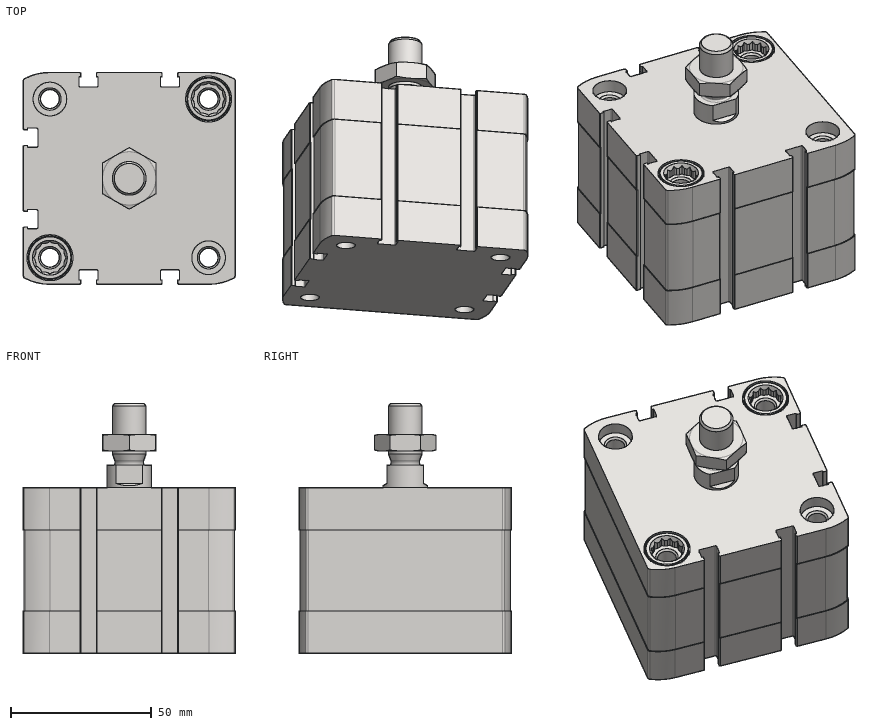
import cadquery as cq
import math


housing_width = 75.5
housing_height = 59.0
cap_height = 15.0
tube_inset = 0.25
corner_arc_reach = 9.3
corner_arc_drop = 2.5
corner_edge_radius = 1.0

slot_offset = 14.5
slot_mouth_chamfer = 0.3
slot_neck_width = 5.5
slot_neck_depth = 1.6
slot_width = 6.7
slot_depth = 5.2
slot_floor_radius = 0.4

hole_offset = 56.5 / 2
hole_diameter = 6.65
hole_chamfer_diameter = 8.0
counterbore_diameter = 12.0
counterbore_depth = 4.8

socket_across_flats = 10.0
socket_points = 12
socket_bore_diameter = 10.65
socket_depth = 4.5
socket_lead_diameter = 12.4
socket_lead_depth = 1.7
groove_outer_diameter = 16.4
groove_inner_diameter = 15.5
collar_top_diameter = 14.9
groove_depth = 1.0

rod_diameter = 16.0
rod_seat_depth = cap_height
rod_shoulder = 8.0
rod_flat_start = 1.55
rod_across_flats = 13.0
rod_flat_ramp_angle = 30.0
neck_diameter = 10.2
neck_fillet = 0.7
neck_top = 9.5
neck_blend_radius = 1.0
thread_diameter = 12.0
thread_start = 11.9
thread_tip_diameter = 10.65
thread_tip_chamfer = 1.0
rod_length = 30.0

nut_across_flats = 19.0
nut_height = 6.0
nut_start = 13.0
nut_chamfer_angle = 15.0


def cone(bottom_diameter, top_diameter, bottom, top):
    """Truncated cone on the Z axis."""
    return (
        cq.Workplane("XZ")
        .moveTo(0, bottom)
        .lineTo(bottom_diameter / 2, bottom)
        .lineTo(top_diameter / 2, top)
        .lineTo(0, top)
        .close()
        .revolve(360, (0, 0, 0), (0, 1, 0))
    )


def cylinder(diameter, bottom, top):
    return cq.Workplane("XY").workplane(offset=bottom).circle(diameter / 2).extrude(top - bottom)


def hexagon(across_flats, bottom, top):
    """Hexagonal prism with two corners on the X axis."""
    across_corners = across_flats / math.cos(math.pi / 6)
    return cq.Workplane("XY").workplane(offset=bottom).polygon(6, across_corners).extrude(top - bottom)


def housing_section(inset, bottom, top):
    """Square block whose +Y and -Y faces curve down to the +X and -X faces."""
    half = housing_width / 2 - inset
    arc_radius = (corner_arc_reach**2 + corner_arc_drop**2) / (2 * corner_arc_drop)
    arc_start = half - corner_arc_reach
    arc_end = half - corner_arc_drop
    block = (
        cq.Workplane("XY")
        .workplane(offset=bottom)
        .moveTo(-arc_start, half)
        .lineTo(arc_start, half)
        .radiusArc((half, arc_end), arc_radius)
        .lineTo(half, -arc_end)
        .radiusArc((arc_start, -half), arc_radius)
        .lineTo(-arc_start, -half)
        .radiusArc((-half, -arc_end), arc_radius)
        .lineTo(-half, arc_end)
        .radiusArc((-arc_start, half), arc_radius)
        .close()
        .extrude(top - bottom)
    )
    for side in (">X", "<X"):
        block = block.faces(side).edges("|Z").fillet(corner_edge_radius)
    for angle in (0, 180, 270):
        for offset in (-slot_offset, slot_offset):
            slot = sensor_slot(half, bottom, top).translate((offset, 0, 0))
            block = block.cut(slot.rotate((0, 0, 0), (0, 0, 1), angle))
    return block


def sensor_slot(face, bottom, top):
    """T-slot cutter opening at Y = -face; its floor keeps its place when the face is inset."""
    outer = housing_width / 2
    neck_end = -(outer - slot_neck_depth)
    floor = -(outer - slot_depth)
    neck = slot_neck_width / 2
    mouth = neck + slot_mouth_chamfer
    height = top - bottom
    opening = (
        cq.Workplane("XY")
        .workplane(offset=bottom)
        .polyline(
            [
                (-mouth, -face),
                (mouth, -face),
                (neck, -face + slot_mouth_chamfer),
                (neck, neck_end),
                (-neck, neck_end),
                (-neck, -face + slot_mouth_chamfer),
            ]
        )
        .close()
        .extrude(height)
    )
    chamber = (
        cq.Workplane("XY")
        .workplane(offset=bottom)
        .center(0, (neck_end + floor) / 2)
        .rect(slot_width, floor - neck_end)
        .extrude(height)
        .faces(">Y")
        .edges("|Z")
        .fillet(slot_floor_radius)
    )
    return opening.union(chamber)


def through_hole(seat):
    """Hole along Z with a 45 degree chamfer at its seat."""
    chamfer_depth = (hole_chamfer_diameter - hole_diameter) / 2
    chamfer = cone(hole_diameter, hole_chamfer_diameter, seat - chamfer_depth, seat)
    return cylinder(hole_diameter, 0, seat).union(chamfer)


def counterbored_hole():
    seat = housing_height - counterbore_depth
    return through_hole(seat).union(cylinder(counterbore_diameter, seat, housing_height))


def socket_hole():
    """Twelve-point socket with a conical lead-in above a through hole."""
    seat = housing_height - socket_depth
    flats_per_hexagon = 6
    cutter = through_hole(seat)
    for turn in range(socket_points // flats_per_hexagon):
        star = hexagon(socket_across_flats, seat, housing_height)
        cutter = cutter.union(star.rotate((0, 0, 0), (0, 0, 1), turn * 360 / socket_points))
    cutter = cutter.union(cylinder(socket_bore_diameter, seat, housing_height))
    lead_bottom = housing_height - socket_lead_depth
    return cutter.union(cone(socket_bore_diameter, socket_lead_diameter, lead_bottom, housing_height))


def collar_groove():
    """Ring groove whose inner wall ends in a 45 degree chamfer."""
    floor = housing_height - groove_depth
    chamfer = (groove_inner_diameter - collar_top_diameter) / 2
    core = cylinder(groove_inner_diameter, floor, housing_height).faces(">Z").chamfer(chamfer)
    return cylinder(groove_outer_diameter, floor, housing_height).cut(core)


def build_housing():
    tube_top = housing_height - cap_height
    body = housing_section(0, 0, cap_height)
    body = body.union(housing_section(tube_inset, cap_height, tube_top))
    body = body.union(housing_section(0, tube_top, housing_height))
    for sign in (-1, 1):
        plain_corner = (sign * hole_offset, -sign * hole_offset, 0)
        socket_corner = (sign * hole_offset, sign * hole_offset, 0)
        body = body.cut(counterbored_hole().translate(plain_corner))
        body = body.cut(socket_hole().translate(socket_corner))
        body = body.cut(collar_groove().translate(socket_corner))
    return body.cut(cylinder(rod_diameter, housing_height - rod_seat_depth, housing_height))


def wrench_flat():
    """Cutter for the flat facing +Y, with a sloping run-out at its lower end."""
    flat = rod_across_flats / 2
    edge = rod_diameter / 2
    ramp_bottom = rod_flat_start - (edge - flat) * math.tan(math.radians(rod_flat_ramp_angle))
    return (
        cq.Workplane("YZ")
        .moveTo(flat, rod_shoulder)
        .lineTo(flat, rod_flat_start)
        .lineTo(edge, ramp_bottom)
        .lineTo(edge, rod_shoulder)
        .close()
        .extrude(edge, both=True)
    )


def build_rod():
    neck = neck_diameter / 2
    thread = thread_diameter / 2
    rod = (
        cq.Workplane("XZ")
        .moveTo(0, -rod_seat_depth)
        .lineTo(rod_diameter / 2, -rod_seat_depth)
        .lineTo(rod_diameter / 2, rod_shoulder)
        .lineTo(neck + neck_fillet, rod_shoulder)
        .radiusArc((neck, rod_shoulder + neck_fillet), neck_fillet)
        .lineTo(neck, neck_top)
        .lineTo(thread, thread_start)
        .lineTo(thread, rod_length - thread_tip_chamfer)
        .lineTo(thread_tip_diameter / 2, rod_length)
        .lineTo(0, rod_length)
        .close()
        .revolve(360, (0, 0, 0), (0, 1, 0))
    )
    neck_top_edge = cq.NearestToPointSelector((0, 0, neck_top))
    rod = rod.edges(neck_top_edge).fillet(neck_blend_radius)
    flat = wrench_flat()
    rod = rod.cut(flat).cut(flat.mirror("XZ"))
    return rod.translate((0, 0, housing_height))


def build_nut():
    """Hexagon nut with two flats facing +X and -X and both ends chamfered."""
    across_corners = nut_across_flats / math.cos(math.pi / 6)
    chamfer_width = (across_corners - nut_across_flats) / 2
    chamfer_height = chamfer_width * math.tan(math.radians(nut_chamfer_angle))
    top = nut_height
    envelope = cone(nut_across_flats, across_corners, 0, chamfer_height)
    envelope = envelope.union(cylinder(across_corners, chamfer_height, top - chamfer_height))
    envelope = envelope.union(cone(across_corners, nut_across_flats, top - chamfer_height, top))
    nut = hexagon(nut_across_flats, 0, top).rotate((0, 0, 0), (0, 0, 1), 30)
    nut = nut.intersect(envelope).cut(cylinder(thread_diameter, 0, top))
    return nut.translate((0, 0, housing_height + nut_start))


housing = build_housing()
rod = build_rod()
nut = build_nut()

result = cq.Compound.makeCompound([housing.solids().val(), rod.solids().val(), nut.solids().val()])